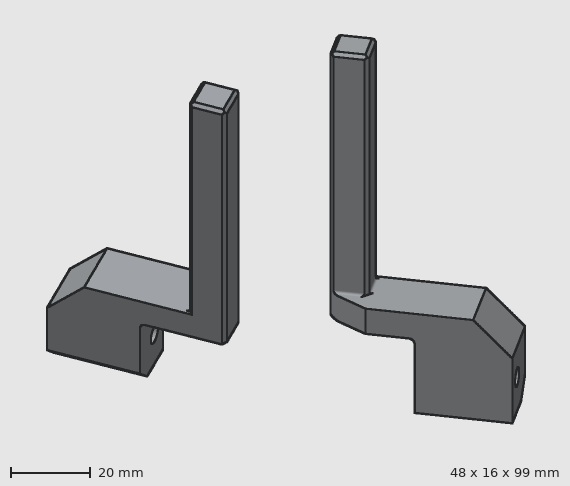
import cadquery as cq
import math

length = 48.0
width = 16.0
height = 99.0

block_length = 25.0
block_top_chamfer = 10.0
block_bottom_chamfer = 5.0
hole_diameter = 5.0
hole_y = 10.0
hole_z = 10.0

arm_bottom = 21.6
arm_top = 29.0
inner_corner_radius = 1.5
taper_start = 37.6
taper_angle = 30.0
tip_bevel_length = 1.0
tip_bevel_height = 0.4

post_size = 10.0
post_chamfer = 1.0
post_base_radius = 0.7
post_left = length - post_size

taper_slope = math.tan(math.radians(taper_angle))
rear_plane_sum = length + post_size - post_chamfer
taper_end_x = (rear_plane_sum - width - taper_slope * taper_start) / (1 - taper_slope)
taper_end_y = rear_plane_sum - taper_end_x


def make_side_profile():
    """Block and arm outline in XZ, extruded over the full width."""
    outline = (
        cq.Workplane("XZ")
        .moveTo(0, 0)
        .lineTo(block_length, 0)
        .lineTo(block_length, arm_bottom - inner_corner_radius)
        .radiusArc(
            (block_length + inner_corner_radius, arm_bottom),
            inner_corner_radius,
        )
        .lineTo(length - tip_bevel_length, arm_bottom)
        .lineTo(length, arm_bottom + tip_bevel_height)
        .lineTo(length, arm_top)
        .lineTo(block_top_chamfer, arm_top)
        .lineTo(0, arm_top - block_top_chamfer)
        .close()
    )
    return outline.extrude(-width)


def make_plan_envelope():
    """Plan outline of the arm, with the tapered and chamfered tip."""
    return (
        cq.Workplane("XY")
        .polyline([
            (0, 0),
            (length - post_chamfer, 0),
            (length, post_chamfer),
            (length, post_size - post_chamfer),
            (taper_end_x, taper_end_y),
            (taper_start, width),
            (0, width),
        ])
        .close()
        .extrude(height)
    )


def make_bottom_chamfer_cutter():
    """Wedge along the lower front edge of the block."""
    return (
        cq.Workplane("YZ")
        .polyline([(0, 0), (block_bottom_chamfer, 0), (0, block_bottom_chamfer)])
        .close()
        .extrude(block_length)
    )


def make_hole_cutter():
    """Hole along X through the block."""
    return (
        cq.Workplane("YZ")
        .center(hole_y, hole_z)
        .circle(hole_diameter / 2)
        .extrude(block_length)
    )


def make_post():
    """Square post with chamfered long edges and a chamfered top."""
    square_post = (
        cq.Workplane("XY", origin=(post_left, 0, arm_top))
        .rect(post_size, post_size, centered=False)
        .extrude(height - arm_top)
    )
    chamfered_column = square_post.edges("|Z").chamfer(post_chamfer)
    chamfered_top = square_post.faces(">Z").chamfer(post_chamfer)
    return chamfered_column.intersect(chamfered_top)


def make_fillet_section(plane, origin, direction):
    """Concave corner section: horizontal leg along `direction`, vertical leg up."""
    return (
        cq.Workplane(plane, origin=origin)
        .lineTo(direction * post_base_radius, 0)
        .radiusArc((0, post_base_radius), direction * post_base_radius)
        .close()
    )


def make_base_fillets():
    """Fillets between arm and post on the left and rear faces of the post."""
    flat_width = post_size - 2 * post_chamfer
    left_origin = (post_left, post_chamfer, arm_top)
    rear_origin = (post_left + post_chamfer, post_size, arm_top)
    left = make_fillet_section("XZ", left_origin, -1).extrude(-flat_width)
    rear = make_fillet_section("YZ", rear_origin, 1).extrude(flat_width)
    reach_left = post_left - post_base_radius
    reach_rear = post_size + post_base_radius
    bound = (
        cq.Workplane("XY", origin=(0, 0, arm_top))
        .polyline([
            (reach_left, 0),
            (length, 0),
            (length, post_size - post_chamfer),
            (rear_plane_sum - reach_rear, reach_rear),
            (post_left + post_chamfer + post_base_radius, reach_rear),
            (reach_left, post_size - post_chamfer - post_base_radius),
        ])
        .close()
        .extrude(post_base_radius)
    )
    return left.union(rear).intersect(bound)


arm = make_side_profile().intersect(make_plan_envelope())
arm = arm.cut(make_bottom_chamfer_cutter()).cut(make_hole_cutter())
result = arm.union(make_post()).union(make_base_fillets())